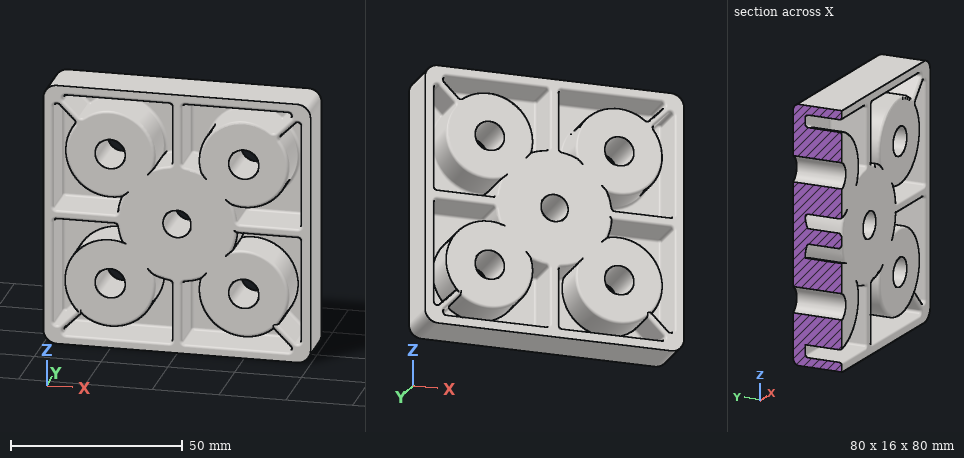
import math

import cadquery as cq

SIZE = 80.0
DEPTH = 16.0
CORNER_RADIUS = 4.0
BACK_EDGE_RADIUS = 2.0

WALL = 3.0
FLOOR = 4.0
CROSS_RIB = 3.0
DIAGONAL_RIB = 2.0
POCKET_RADIUS = 1.0

CENTRE_BOSS_RADIUS = 18.0
CENTRE_HOLE_DIAMETER = 8.38
CORNER_BOSS_RADIUS = 13.5
CORNER_HOLE_DIAMETER = 9.0
CORNER_BOSS_OFFSET = 20.0
BOSS_TRIM = 1.5

POCKET_DEPTH = DEPTH - FLOOR

SIDES = ("wall", "diagonal", "boss", "centre", "rib")
CORNERS = ("rib-wall", "wall-diagonal", "diagonal-boss", "centre-rib")


def on_circle(centre, radius, angle):
    """Point of a circle in the XZ plane."""
    return (centre[0] + radius * math.cos(angle), centre[1] + radius * math.sin(angle))


def angle_to(centre, point):
    """Direction from a centre to a point in the XZ plane, from 0 to a full turn."""
    return math.atan2(point[1] - centre[1], point[0] - centre[0]) % (2 * math.pi)


def midpoint(start, end):
    """Middle of a straight side."""
    return ((start[0] + end[0]) / 2, (start[1] + end[1]) / 2)


def arc_midpoint(centre, radius, start, end):
    """Middle of the arc between two points of a circle."""
    mean_angle = (angle_to(centre, start) + angle_to(centre, end)) / 2
    return on_circle(centre, radius, mean_angle)


def pocket_geometry(boss_radius):
    """Corners and side midpoints of the pocket between the +Z rib and the +X+Z diagonal rib."""
    inner = SIZE / 2 - WALL
    half_rib = CROSS_RIB / 2
    half_diagonal = DIAGONAL_RIB / 2
    origin = (0.0, 0.0)
    boss = (CORNER_BOSS_OFFSET, CORNER_BOSS_OFFSET)
    boss_distance = math.hypot(*boss)
    diagonal_angle = math.pi / 4

    rib_wall = (half_rib, inner)
    wall_diagonal = (inner - half_diagonal * math.sqrt(2), inner)
    rib_spread = math.asin(half_diagonal / boss_radius)
    diagonal_boss = on_circle(boss, boss_radius, diagonal_angle + rib_spread)
    crossing_cosine = (boss_distance**2 + CENTRE_BOSS_RADIUS**2 - boss_radius**2) / (
        2 * boss_distance * CENTRE_BOSS_RADIUS
    )
    boss_centre = on_circle(origin, CENTRE_BOSS_RADIUS, diagonal_angle + math.acos(crossing_cosine))
    centre_rib = (half_rib, math.sqrt(CENTRE_BOSS_RADIUS**2 - half_rib**2))

    corners = {
        "rib-wall": rib_wall,
        "wall-diagonal": wall_diagonal,
        "diagonal-boss": diagonal_boss,
        "boss-centre": boss_centre,
        "centre-rib": centre_rib,
    }
    middles = {
        "wall": midpoint(rib_wall, wall_diagonal),
        "diagonal": midpoint(wall_diagonal, diagonal_boss),
        "boss": arc_midpoint(boss, boss_radius, diagonal_boss, boss_centre),
        "centre": arc_midpoint(origin, CENTRE_BOSS_RADIUS, boss_centre, centre_rib),
        "rib": midpoint(centre_rib, rib_wall),
    }
    return corners, middles


def edges_through(solid, points, y):
    """Edges of the solid that pass through the given XZ points at depth y."""
    tolerance = 1e-4
    markers = [cq.Vertex.makeVertex(x, y, z) for x, z in points]
    return [e for e in solid.Edges() if any(e.distance(m) < tolerance for m in markers)]


def pocket_cutter(rounded_corners, rounded_floor, boss_radius=CORNER_BOSS_RADIUS):
    """Volume removed by one pocket, with a rounded rim and the given rounded corners and floor."""
    corners, middles = pocket_geometry(boss_radius)
    pocket = (
        cq.Workplane("XZ")
        .moveTo(*corners["rib-wall"])
        .lineTo(*corners["wall-diagonal"])
        .lineTo(*corners["diagonal-boss"])
        .threePointArc(middles["boss"], corners["boss-centre"])
        .threePointArc(middles["centre"], corners["centre-rib"])
        .close()
        .extrude(-POCKET_DEPTH)
        .val()
    )
    upright = edges_through(pocket, [corners[c] for c in rounded_corners], POCKET_DEPTH / 2)
    floor = edges_through(pocket, [middles[s] for s in rounded_floor], POCKET_DEPTH)
    pocket = pocket.fillet(POCKET_RADIUS, upright + floor)

    blank = cq.Workplane("XY").box(SIZE, DEPTH, SIZE, centered=(True, False, True)).val()
    recessed = blank.cut(pocket)
    rim = edges_through(recessed, [middles[s] for s in SIDES], 0)
    return blank.cut(recessed.fillet(POCKET_RADIUS, rim))


def mirrored(cutter):
    """Pocket on the other side of the Z axis."""
    return cutter.mirror("YZ")


def turned(cutter, quarter_turns):
    """Turn clockwise as seen on the ribbed face."""
    return cutter.rotate((0, 0, 0), (0, 1, 0), 90 * quarter_turns)


def disc(x, z, diameter):
    """Cylinder through the full depth, along Y."""
    return cq.Workplane("XZ").center(x, z).circle(diameter / 2).extrude(-DEPTH).val()


def make_block():
    """Square block with rounded corners and a rounded back edge."""
    block = cq.Workplane("XY").box(SIZE, DEPTH, SIZE, centered=(True, False, True))
    return block.edges("|Y").fillet(CORNER_RADIUS).faces(">Y").edges().fillet(BACK_EDGE_RADIUS)


def pocket_cutters():
    """The eight pockets; those near the lower corner bosses have fewer rounded edges."""
    full = pocket_cutter(CORNERS, SIDES)
    sharp_boss_corners = [c for c in CORNERS if c != "diagonal-boss"]
    sharp_boss_floor = [s for s in SIDES if s != "boss"]
    sharp_boss = pocket_cutter(sharp_boss_corners, sharp_boss_floor)
    sharp_bosses = pocket_cutter(
        [c for c in sharp_boss_corners if c != "centre-rib"],
        [s for s in sharp_boss_floor if s != "centre"],
    )
    thin_boss_radius = CORNER_BOSS_RADIUS - BOSS_TRIM
    oversize = pocket_cutter(sharp_boss_corners, sharp_boss_floor, thin_boss_radius)
    lower_left_boss = disc(-CORNER_BOSS_OFFSET, -CORNER_BOSS_OFFSET, 2 * CORNER_BOSS_RADIUS)
    sharp_rim = turned(mirrored(oversize), -1).cut(lower_left_boss)

    upper = [full, turned(mirrored(full), 1), mirrored(full), turned(full, -1)]
    lower_right = [turned(sharp_bosses, 1), turned(mirrored(sharp_boss), 2)]
    lower_left = [turned(sharp_boss, 2), sharp_rim]
    return upper + lower_right + lower_left


def make_holes():
    """Through holes of the five bosses."""
    holes = [disc(0, 0, CENTRE_HOLE_DIAMETER)]
    for x_side in (-1, 1):
        for z_side in (-1, 1):
            x = x_side * CORNER_BOSS_OFFSET
            z = z_side * CORNER_BOSS_OFFSET
            holes.append(disc(x, z, CORNER_HOLE_DIAMETER))
    return holes


result = make_block()
for cutter in pocket_cutters() + make_holes():
    result = result.cut(cq.Workplane(cutter))